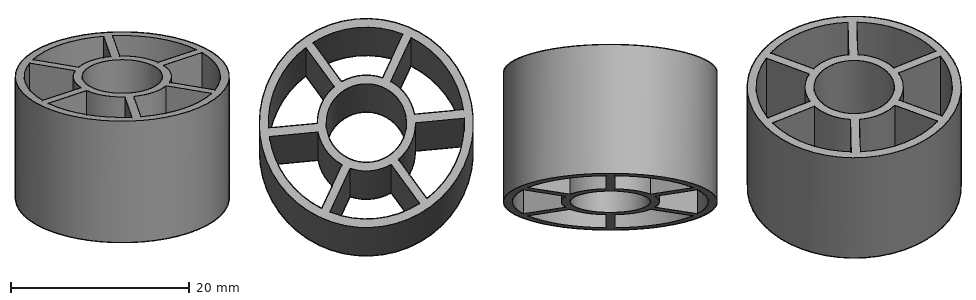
import cadquery as cq

outer_diameter = 24.0
bore_diameter = 9.0
height = 15.0
rim_thickness = 1.0
hub_thickness = 1.0
spoke_thickness = 1.0
spoke_count = 6
first_spoke_angle = 90.0

outer_radius = outer_diameter / 2
rim_inner_radius = outer_radius - rim_thickness
bore_radius = bore_diameter / 2
hub_radius = bore_radius + hub_thickness


def ring(ring_outer_radius, ring_inner_radius):
    """Full-height ring standing on the XY plane."""
    return cq.Workplane("XY").circle(ring_outer_radius).circle(ring_inner_radius).extrude(height)


def spoke(angle):
    """Full-height radial web, with its ends embedded halfway into the hub and rim walls."""
    start_radius = bore_radius + hub_thickness / 2
    end_radius = outer_radius - rim_thickness / 2
    return (
        cq.Workplane("XY")
        .center((start_radius + end_radius) / 2, 0)
        .rect(end_radius - start_radius, spoke_thickness)
        .extrude(height)
        .rotate((0, 0, 0), (0, 0, 1), angle)
    )


result = ring(outer_radius, rim_inner_radius).union(ring(hub_radius, bore_radius))
for index in range(spoke_count):
    result = result.union(spoke(first_spoke_angle + index * 360 / spoke_count))